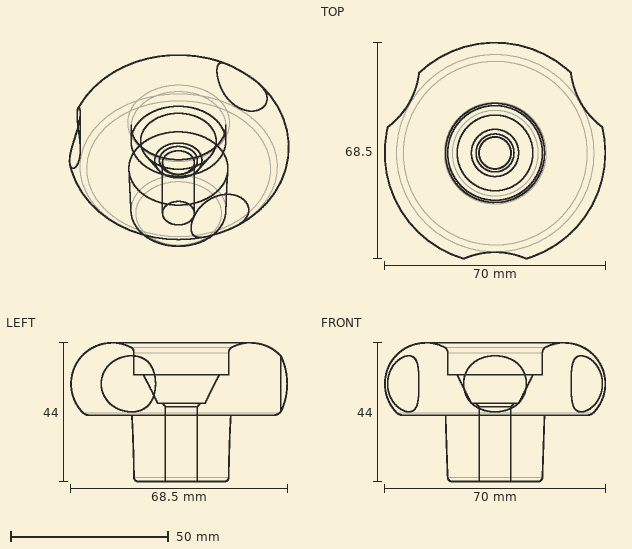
import cadquery as cq
import math

knob_diameter = 69.95
knob_height = 44.0
hub_height = 21.0

ring_radius = 13.0
ring_center_r = knob_diameter / 2 - ring_radius
ring_center_z = knob_height - ring_radius
ring_edge_fillet = 3.0

hub_bottom_diameter = 30.0
hub_top_diameter = 31.4
hub_edge_fillet = 1.5

recess_diameter = 30.0
recess_floor_z = 33.8
recess_rim_fillet = 2.0
cone_top_diameter = 24.0
cone_bottom_diameter = 15.0
cone_bottom_z = 24.75
bore_diameter = 10.1
bore_chamfer = 1.0

scallop_count = 3
scallop_diameter = 50.0
scallop_inner_r = 31.5
first_scallop_angle = -90


def ring_point(angle):
    """Point (r, z) on the ring's circular section; angle in radians from outward."""
    return (
        ring_center_r + ring_radius * math.cos(angle),
        ring_center_z + ring_radius * math.sin(angle),
    )


def make_grip():
    """Ring cut flat at the hub's top, blended below and at the recess rim."""
    edge_z = hub_height + ring_edge_fillet
    edge_angle = math.asin((edge_z - ring_center_z) / (ring_radius - ring_edge_fillet))
    edge_r = ring_center_r + (ring_radius - ring_edge_fillet) * math.cos(edge_angle)
    edge_middle = (edge_angle - math.pi / 2) / 2
    edge_middle_point = (
        edge_r + ring_edge_fillet * math.cos(edge_middle),
        edge_z + ring_edge_fillet * math.sin(edge_middle),
    )

    rim_r = recess_diameter / 2 + recess_rim_fillet
    rim_angle = math.acos((rim_r - ring_center_r) / (ring_radius - recess_rim_fillet))
    rim_z = ring_center_z + (ring_radius - recess_rim_fillet) * math.sin(rim_angle)
    rim_middle = (rim_angle + math.pi) / 2
    rim_middle_point = (
        rim_r + recess_rim_fillet * math.cos(rim_middle),
        rim_z + recess_rim_fillet * math.sin(rim_middle),
    )

    return (
        cq.Workplane("XZ")
        .moveTo(0, hub_height)
        .lineTo(edge_r, hub_height)
        .threePointArc(edge_middle_point, ring_point(edge_angle))
        .threePointArc(ring_point((edge_angle + rim_angle) / 2), ring_point(rim_angle))
        .threePointArc(rim_middle_point, (recess_diameter / 2, rim_z))
        .lineTo(recess_diameter / 2, recess_floor_z)
        .lineTo(0, recess_floor_z)
        .close()
        .revolve(360, (0, 0), (0, 1))
    )


def make_hub():
    """Slightly tapered hub with a rounded lower edge."""
    return (
        cq.Workplane("XY")
        .circle(hub_bottom_diameter / 2)
        .workplane(offset=hub_height)
        .circle(hub_top_diameter / 2)
        .loft()
        .faces("<Z")
        .edges()
        .fillet(hub_edge_fillet)
    )


def make_bore():
    """Conical seat leading to a chamfered through hole."""
    bore_r = bore_diameter / 2
    return (
        cq.Workplane("XZ")
        .lineTo(bore_r, 0)
        .lineTo(bore_r, cone_bottom_z - bore_chamfer)
        .lineTo(bore_r + bore_chamfer, cone_bottom_z)
        .lineTo(cone_bottom_diameter / 2, cone_bottom_z)
        .lineTo(cone_top_diameter / 2, recess_floor_z)
        .lineTo(0, recess_floor_z)
        .close()
        .revolve(360, (0, 0), (0, 1))
    )


def make_scallops():
    """Upright cylinders that bite into the outside of the grip."""
    return (
        cq.Workplane("XY")
        .polarArray(scallop_inner_r + scallop_diameter / 2, first_scallop_angle, 360, scallop_count)
        .circle(scallop_diameter / 2)
        .extrude(knob_height)
    )


result = make_grip().union(make_hub()).cut(make_bore()).cut(make_scallops())